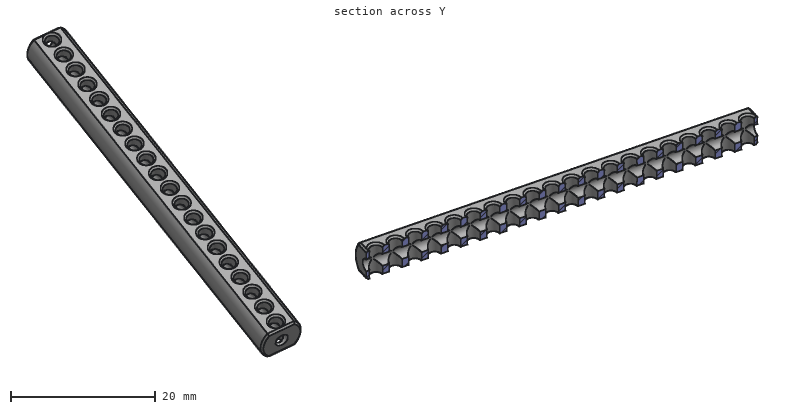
import cadquery as cq

BAR_LENGTH = 62.5
BAR_DIAMETER = 6.6
FLAT_HEIGHT = 5.0
END_CHAMFER = 0.3

BORE_DIAMETER = 2.0

HOLE_COUNT = 20
HOLE_PITCH = BAR_LENGTH / HOLE_COUNT
HOLE_DIAMETER = 2.0
COUNTERSINK_DIAMETER = 2.6
COUNTERSINK_ANGLE = 90.0


def make_bar():
    """Chamfered round bar with two parallel flats, centred on the origin."""
    round_bar = cq.Workplane("YZ").circle(BAR_DIAMETER / 2).extrude(BAR_LENGTH / 2, both=True)
    flat_envelope = cq.Workplane("XY").box(BAR_LENGTH, BAR_DIAMETER, FLAT_HEIGHT)
    bar = round_bar.intersect(flat_envelope)
    return bar.faces("<X or >X").edges().chamfer(END_CHAMFER)


def cut_bore(bar):
    """Bore the bar along its whole length."""
    return bar.faces("<X").workplane(origin=(0, 0, 0)).hole(BORE_DIAMETER)


def cut_cross_holes(bar):
    """Drill the evenly spaced row of through holes, countersunk in the top flat."""
    return (
        bar.faces(">Z")
        .workplane(origin=(0, 0, 0))
        .rarray(HOLE_PITCH, 1, HOLE_COUNT, 1)
        .cskHole(HOLE_DIAMETER, COUNTERSINK_DIAMETER, COUNTERSINK_ANGLE)
    )


result = cut_cross_holes(cut_bore(make_bar()))